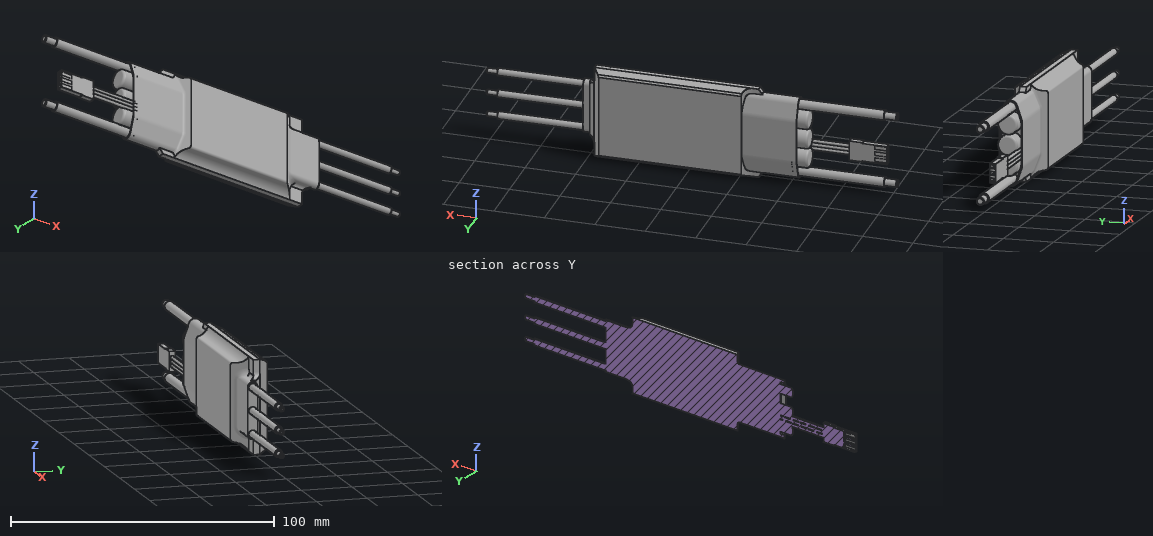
import cadquery as cq
import math


input_tip_start = 0.0
input_strip_end = 5.0
input_lead_z = 14.0
input_lead_diameter = 4.0
input_core_diameter = 3.0
input_core_chamfer = 0.3
capacitor_start = 34.6
capacitor_pitch = 8.1
capacitor_diameter = 8.0
capacitor_face_diameter = 6.0
capacitor_cover = 0.6
lead_cover = 0.7
input_sleeve_start = 38.8
mouth_depth = 2.0
mouth_wall = 0.5

face_start = 63.8
face_end = 108.8
front_y = -7.0
back_y = 5.1
flange_half_thickness = 1.3
flange_half_width = 18.5
flange_start = 54.8
flange_end = 119.9
front_half_width = 15.5
front_edge_radius = 1.0
front_foot_start = 60.1
front_foot_end = 114.2
input_blend_radius = 1.5
back_start = 60.5
back_end = 117.1
back_foot_start = 57.0
back_half_width = 16.4
back_shoulder_y = 4.4
back_shoulder_half_width = 17.2
flange_ramp_start = 53.1
flange_ramp_half_width = 16.3

output_sleeve_end = 125.2
output_lead_pitch = 9.1
output_lead_y = -3.15
output_lead_diameter = 3.0
output_core_diameter = 2.0
output_strip_start = 159.4
output_tip_end = 164.0
output_core_chamfer = 0.5
output_sleeve_radius = 2.0
output_blend_radius = 3.0
edge_gap = 0.1
neck_radius = 2.6
bevel_margin = 0.2
output_half_width = output_lead_pitch + output_sleeve_radius

signal_y = -3.45
signal_z = -4.0
signal_wire_diameter = 1.5
signal_wire_pitch = 1.55
signal_wire_overlap = 1.0
connector_start = input_strip_end
connector_length = 15.0
connector_height = 7.5
connector_thickness = 2.4
connector_key_length = 5.2
connector_key_height = 0.3
socket_pitch = 2.54
socket_size = 1.5
socket_depth = 5.0


def rod(start, end, diameter, y, z):
    """Round bar along X."""
    return cq.Workplane("YZ", origin=(start, y, z)).circle(diameter / 2).extrude(end - start)


def row(pitch):
    """Z positions of a centred row of three."""
    return [-pitch, 0, pitch]


def across_width(profile):
    """Extrude an XY profile over the whole flange width."""
    return profile.extrude(flange_half_width, both=True)


def input_envelope(inset, length):
    """Band stretched round the outer capacitors and the two input leads, shrunk by the inset."""
    big = capacitor_diameter / 2 + capacitor_cover - inset
    small = input_lead_diameter / 2 + lead_cover - inset
    sine = (big - small) / (input_lead_z - capacitor_pitch)
    cosine = math.sqrt(1 - sine**2)
    half_diagonal = math.asin(sine) / 2
    big_mid = (big * math.cos(half_diagonal), capacitor_pitch + big * math.sin(half_diagonal))
    big_end = (big * cosine, capacitor_pitch + big * sine)
    small_start = (small * cosine, input_lead_z + small * sine)
    small_top = (0, input_lead_z + small)

    def flip(point):
        return (-point[0], point[1])

    outline = (
        cq.Workplane("YZ", origin=(input_sleeve_start, 0, 0))
        .moveTo(big, 0)
        .lineTo(big, capacitor_pitch)
        .threePointArc(big_mid, big_end)
        .lineTo(*small_start)
        .threePointArc(small_top, flip(small_start))
        .lineTo(*flip(big_end))
        .threePointArc(flip(big_mid), (-big, capacitor_pitch))
        .lineTo(-big, 0)
        .mirrorX()
    )
    return outline.extrude(length)


def input_sleeve():
    """Shrink sleeve with a shallow open mouth."""
    body = input_envelope(0, face_start - input_sleeve_start)
    return body.cut(input_envelope(mouth_wall, mouth_depth))


def front_housing():
    """Hump on the -Y side: flared side walls crossed with sloping ends."""
    flare_y = front_y + front_edge_radius
    reach = -flange_half_thickness - flare_y
    rise = flange_half_width - front_half_width
    flare_radius = (reach**2 + rise**2) / (2 * rise)
    half_angle = math.asin(reach / flare_radius) / 2
    flare_mid = (
        flare_y + flare_radius * math.sin(half_angle),
        front_half_width + flare_radius * (1 - math.cos(half_angle)),
    )
    edge_offset = front_edge_radius * math.sqrt(0.5)
    edge_centre_z = front_half_width - front_edge_radius
    section = (
        cq.Workplane("YZ", origin=(front_foot_start, 0, 0))
        .lineTo(0, flange_half_width)
        .lineTo(-flange_half_thickness, flange_half_width)
        .threePointArc(flare_mid, (flare_y, front_half_width))
        .threePointArc((flare_y - edge_offset, edge_centre_z + edge_offset), (front_y, edge_centre_z))
        .lineTo(front_y, 0)
        .mirrorX()
        .extrude(front_foot_end - front_foot_start)
    )
    lengthwise = cq.Workplane("XY").polyline(
        [
            (front_foot_start, 0),
            (front_foot_start, -flange_half_thickness),
            (face_start, front_y),
            (face_end, front_y),
            (front_foot_end, -flange_half_thickness),
            (front_foot_end, 0),
        ]
    ).close()
    return section.intersect(across_width(lengthwise))


def back_housing():
    """Hump on the +Y side, with a ramp at the output end."""
    section = (
        cq.Workplane("YZ", origin=(back_foot_start, 0, 0))
        .polyline(
            [
                (0, 0),
                (0, flange_half_width),
                (flange_half_thickness, flange_half_width),
                (back_shoulder_y, back_shoulder_half_width),
                (back_y, back_half_width),
                (back_y, 0),
            ]
        )
        .mirrorX()
        .extrude(flange_end - back_foot_start)
    )
    blend = back_start - back_foot_start
    blend_mid = blend * (1 - math.sqrt(0.5))
    lengthwise = (
        cq.Workplane("XY")
        .moveTo(back_foot_start, 0)
        .lineTo(back_foot_start, flange_half_thickness)
        .threePointArc(
            (back_start - blend_mid, flange_half_thickness + blend_mid),
            (back_start, flange_half_thickness + blend),
        )
        .lineTo(back_start, back_y)
        .lineTo(back_end, back_y)
        .lineTo(flange_end, flange_half_thickness)
        .lineTo(flange_end, 0)
        .close()
    )
    return section.intersect(across_width(lengthwise))


def flange_plan(front):
    """Plan outline of the rim, necking down to the output sleeve, extruded from the back to the given Y."""
    neck_mid = neck_radius * (1 - math.sqrt(0.5))
    neck_end = flange_end + neck_radius
    return (
        cq.Workplane("XZ", origin=(0, flange_half_thickness, 0))
        .moveTo(flange_ramp_start, 0)
        .lineTo(flange_ramp_start, flange_ramp_half_width)
        .lineTo(flange_start, flange_half_width)
        .lineTo(flange_end, flange_half_width)
        .lineTo(flange_end, output_half_width + neck_radius)
        .threePointArc((flange_end + neck_mid, output_half_width + neck_mid), (neck_end, output_half_width))
        .lineTo(neck_end, 0)
        .mirrorX()
        .extrude(flange_half_thickness - front)
    )


def flange():
    """Flat rim along both sides, its neck bevelled to continue the back ramp."""
    bevel_depth = 2 * flange_half_thickness - bevel_margin
    bevel_length = neck_radius - bevel_margin
    return flange_plan(-flange_half_thickness).edges("|Z and >X and >Y").chamfer(bevel_depth, bevel_length)


def neck_web():
    """Concave web between the flange front and the round edges of the output sleeve."""
    depth = -flange_half_thickness - output_lead_y
    radius = (depth**2 + neck_radius**2) / (2 * neck_radius)
    half_angle = math.asin(depth / radius) / 2
    web_mid = (
        output_lead_y + radius * math.sin(half_angle),
        output_half_width + radius * (1 - math.cos(half_angle)),
    )
    section = (
        cq.Workplane("YZ", origin=(face_end, 0, 0))
        .lineTo(0, output_half_width + neck_radius)
        .lineTo(-flange_half_thickness, output_half_width + neck_radius)
        .threePointArc(web_mid, (output_lead_y, output_half_width))
        .lineTo(output_lead_y, 0)
        .mirrorX()
        .extrude(flange_end + neck_radius - face_end)
    )
    return section.intersect(flange_plan(output_lead_y)).cut(flange_plan(-flange_half_thickness))


def output_sleeve():
    """Flat sleeve with round edges over the three output leads."""
    outline = cq.Workplane("YZ", origin=(face_end, output_lead_y, 0))
    slot = outline.slot2D(2 * output_half_width, 2 * output_sleeve_radius, 90)
    return slot.extrude(output_sleeve_end - face_end)


def input_side():
    """Two input leads with stripped ends, and three round-edged capacitors between them."""
    leads = [
        rod(input_strip_end, face_start, input_lead_diameter, 0, z) for z in (-input_lead_z, input_lead_z)
    ]
    cores = [
        rod(input_tip_start, face_start, input_core_diameter, 0, z).faces("<X").chamfer(input_core_chamfer)
        for z in (-input_lead_z, input_lead_z)
    ]
    rounding = (capacitor_diameter - capacitor_face_diameter) / 2
    capacitors = [
        rod(capacitor_start, face_start, capacitor_diameter, 0, z).faces("<X").edges().fillet(rounding)
        for z in row(capacitor_pitch)
    ]
    return leads + cores + capacitors


def output_side():
    """Three output leads with stripped ends."""
    leads = [
        rod(face_end, output_strip_start, output_lead_diameter, output_lead_y, z)
        for z in row(output_lead_pitch)
    ]
    cores = [
        rod(face_end, output_tip_end, output_core_diameter, output_lead_y, z)
        .faces(">X")
        .chamfer(output_core_chamfer)
        for z in row(output_lead_pitch)
    ]
    return leads + cores


def connector():
    """Three-way plug with a raised key top and bottom and square sockets."""
    centre_x = connector_start + connector_length / 2
    plug = cq.Workplane("XY", origin=(centre_x, signal_y, signal_z)).box(
        connector_length, connector_thickness, connector_height
    )
    key_x = connector_start + connector_length - connector_key_length / 2
    key = cq.Workplane("XY", origin=(key_x, signal_y, signal_z)).box(
        connector_key_length, connector_thickness, connector_height + 2 * connector_key_height
    )
    sockets = (
        cq.Workplane("YZ", origin=(connector_start, signal_y, signal_z))
        .pushPoints([(0, z) for z in row(socket_pitch)])
        .rect(socket_size, socket_size)
        .extrude(socket_depth)
    )
    return plug.union(key).cut(sockets)


def signal_wires():
    """Ribbon of three thin wires from the plug into the input sleeve."""
    start = connector_start + connector_length - signal_wire_overlap
    return [
        rod(start, face_start, signal_wire_diameter, signal_y, signal_z + z) for z in row(signal_wire_pitch)
    ]


def housing():
    """Shell of the controller, with the front hump blended into both sleeves."""

    def inside_corners(start, end):
        low = (start, front_y, -flange_half_width)
        high = (end, -flange_half_thickness, flange_half_width)
        return cq.selectors.BoxSelector(low, high, boundingbox=True)

    shell = front_housing().union(back_housing()).union(flange()).union(input_sleeve())
    input_joint = inside_corners(front_foot_start + edge_gap, face_start - edge_gap)
    shell = shell.edges(input_joint).fillet(input_blend_radius)
    shell = shell.union(output_sleeve())
    output_joint = inside_corners(face_end + edge_gap, front_foot_end - edge_gap)
    shell = shell.edges(output_joint).fillet(output_blend_radius)
    return shell.union(neck_web())


result = housing()
for piece in input_side() + output_side() + signal_wires() + [connector()]:
    result = result.union(piece)